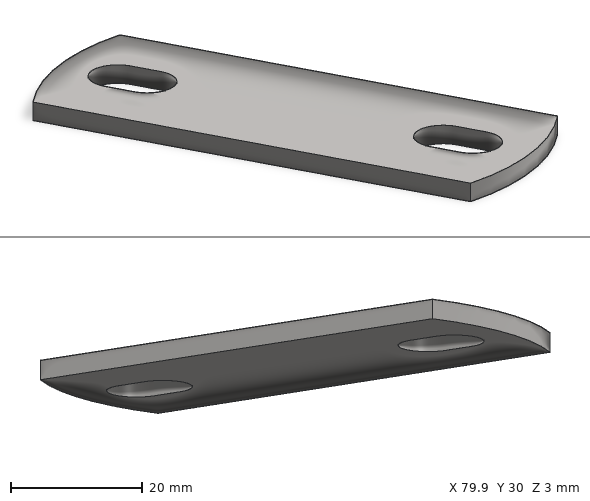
import cadquery as cq

length = 79.9
width = 30.0
thickness = 3.0

slot_length = 14.0
slot_width = 9.0
slot_spacing = 55.0


def make_plate():
    disc = cq.Workplane("XY").circle(length / 2).extrude(thickness)
    strip = cq.Workplane("XY").rect(length, width).extrude(thickness)
    return disc.intersect(strip)


def make_slots():
    return (
        cq.Workplane("XY")
        .pushPoints([(-slot_spacing / 2, 0), (slot_spacing / 2, 0)])
        .slot2D(slot_length, slot_width)
        .extrude(thickness)
    )


result = make_plate().cut(make_slots())